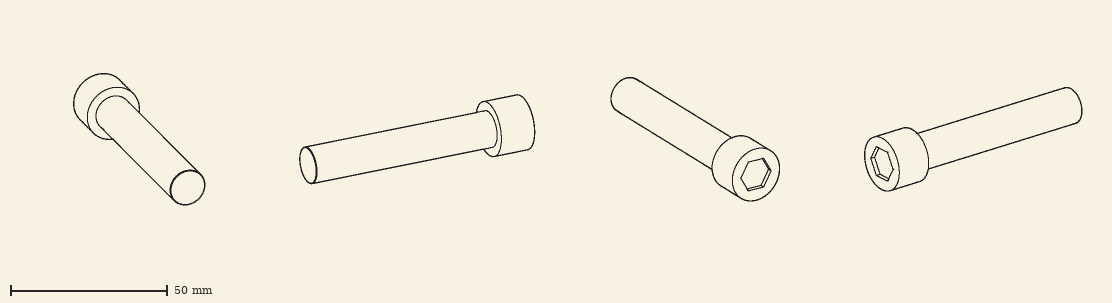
import cadquery as cq
import math

total_length = 77.0
head_diameter = 18.0
head_height = 12.0
shank_diameter = 12.0
tip_chamfer = 0.2
socket_across_flats = 10.0
socket_depth = 1.55

head_face_x = -total_length / 2
socket_across_corners = socket_across_flats / math.cos(math.pi / 6)

head_plane = cq.Workplane("YZ", origin=(head_face_x, 0, 0))
head = head_plane.circle(head_diameter / 2).extrude(head_height)
shank = head_plane.circle(shank_diameter / 2).extrude(total_length)
shank = shank.faces(">X").chamfer(tip_chamfer)

socket = head_plane.polygon(6, socket_across_corners).extrude(socket_depth)

result = head.union(shank).cut(socket)